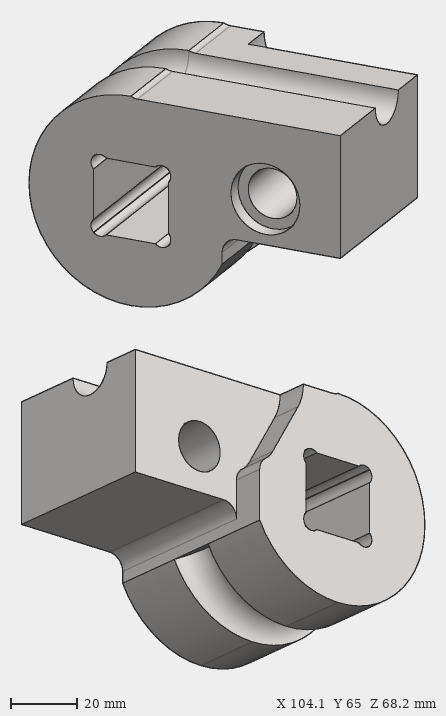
import cadquery as cq
import math

length = 104.1
depth = 65.0
disc_diameter = 68.2
disc_radius = disc_diameter / 2

block_end = length - disc_radius
block_height = 40.0
top_drop = 0.5
block_top = disc_radius - top_drop
block_bottom = block_top - block_height
neck_x = 30.5
fillet_radius = 5.0

groove_radius = 8.0
groove_y = depth / 2

square_side = 25.0
corner_relief_radius = 3.0
corner_relief_inset = 2.2

bore_x = 45.0
bore_z = 8.5
bore_diameter = 16.2
counterbore_diameter = 23.0
counterbore_depth = 5.0

recess_depth = 11.0
recess_x = 13.4
recess_slope = 60.0
shoulder_slope = 33.5
upper_arc_radius = 16.0
lower_arc_radius = 9.0

neck_angle = math.degrees(math.acos(neck_x / disc_radius))
neck_z = -disc_radius * math.sin(math.radians(neck_angle))


def polar(center, radius, angle):
    """Point at an angle in degrees on a circle in the XZ plane."""
    turn = math.radians(angle)
    return center[0] + radius * math.cos(turn), center[1] + radius * math.sin(turn)


def front_sketch(y=0.0):
    """XZ sketch plane at the given Y; a negative extrusion runs towards +Y."""
    return cq.Workplane("XZ", origin=(0, y, 0))


def make_body():
    """Disc and block as one outline, with concave fillets where they meet."""
    blend_center_z = block_top + fillet_radius
    blend_angle = math.degrees(math.acos((blend_center_z - disc_radius) / fillet_radius))
    blend_length = fillet_radius * math.sin(math.radians(blend_angle))
    blend_center = (blend_length, blend_center_z)
    neck_center = (neck_x + fillet_radius, block_bottom - fillet_radius)
    return (
        front_sketch()
        .moveTo(0, disc_radius)
        .threePointArc((-disc_radius, 0), (0, -disc_radius))
        .threePointArc(polar((0, 0), disc_radius, -60), (neck_x, neck_z))
        .lineTo(neck_x, neck_center[1])
        .threePointArc(polar(neck_center, fillet_radius, 135), (neck_center[0], block_bottom))
        .lineTo(block_end, block_bottom)
        .lineTo(block_end, block_top)
        .lineTo(blend_length, block_top)
        .threePointArc(polar(blend_center, fillet_radius, 270 - blend_angle / 2), (0, disc_radius))
        .close()
        .extrude(-depth)
    )


def make_groove():
    """Round groove: straight along the block top, then around the disc to the neck wall."""
    straight = (
        cq.Workplane("YZ")
        .center(groove_y, block_top)
        .circle(groove_radius)
        .extrude(block_end)
    )
    around = (
        cq.Workplane("YZ")
        .center(groove_y, block_top)
        .circle(groove_radius)
        .revolve(270 - neck_angle, (0, -block_top, 0), (-1, -block_top, 0))
    )
    return straight, around


def make_square_opening():
    """Square through opening with relieved corners."""
    pitch = square_side - 2 * corner_relief_inset
    opening = front_sketch().rect(square_side, square_side).extrude(-depth)
    reliefs = (
        front_sketch()
        .rect(pitch, pitch, forConstruction=True)
        .vertices()
        .circle(corner_relief_radius)
        .extrude(-depth)
    )
    return opening.union(reliefs)


def make_bore():
    """Through bore with a counterbore in the front face."""
    bore = front_sketch().center(bore_x, bore_z)
    through = bore.circle(bore_diameter / 2).extrude(-depth)
    return through.union(bore.circle(counterbore_diameter / 2).extrude(-counterbore_depth))


def make_recess():
    """Back recess bounded by a hollow arc, a steep slope, a second hollow arc and a rounded shoulder."""
    slope_angle = 270 - recess_slope
    shoulder_angle = 270 - shoulder_slope

    upper_center = (recess_x + upper_arc_radius, block_top)
    upper_end = polar(upper_center, upper_arc_radius, slope_angle)
    upper_middle = polar(upper_center, upper_arc_radius, (180 + slope_angle) / 2)

    shoulder_center_x = neck_x - fillet_radius
    shoulder_start_x = polar((shoulder_center_x, 0), fillet_radius, shoulder_angle - 180)[0]
    lower_center_x = polar((shoulder_start_x, 0), lower_arc_radius, shoulder_angle - 180)[0]
    slope_end_x = polar((lower_center_x, 0), lower_arc_radius, slope_angle)[0]
    slope_drop = (slope_end_x - upper_end[0]) * math.tan(math.radians(recess_slope))
    slope_end = (slope_end_x, upper_end[1] - slope_drop)

    lower_center = polar(slope_end, lower_arc_radius, slope_angle - 180)
    lower_end = polar(lower_center, lower_arc_radius, shoulder_angle)
    lower_middle = polar(lower_center, lower_arc_radius, (slope_angle + shoulder_angle) / 2)

    shoulder_center = polar(lower_end, fillet_radius, shoulder_angle)
    shoulder_middle = polar(shoulder_center, fillet_radius, (shoulder_angle - 180) / 2)
    shoulder_end = polar(shoulder_center, fillet_radius, 0)

    return (
        front_sketch(depth - recess_depth)
        .moveTo(recess_x, block_top)
        .threePointArc(upper_middle, upper_end)
        .lineTo(*slope_end)
        .threePointArc(lower_middle, lower_end)
        .threePointArc(shoulder_middle, shoulder_end)
        .lineTo(neck_x, neck_z)
        .lineTo(block_end, neck_z)
        .lineTo(block_end, block_top)
        .close()
        .extrude(-recess_depth)
    )


result = make_body()
for groove_part in make_groove():
    result = result.cut(groove_part)
result = result.cut(make_square_opening()).cut(make_bore()).cut(make_recess())